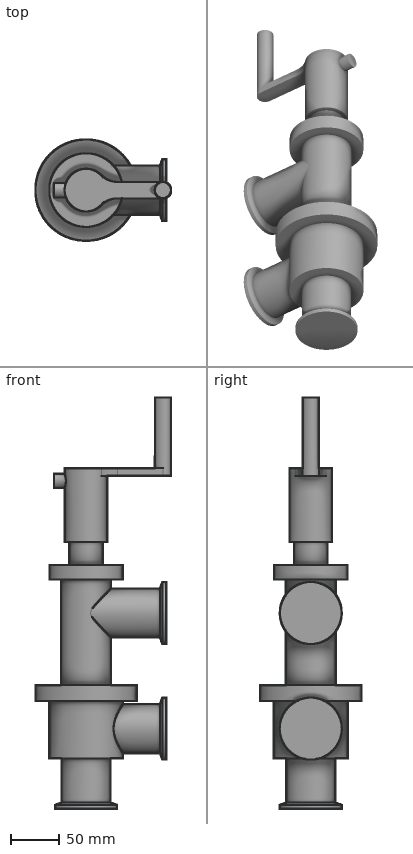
import cadquery as cq
import math

PIPE_DIAMETER = 51.0
FERRULE_DIAMETER = 64.0
FERRULE_RIM = 4.05
FERRULE_BACK_ANGLE = 20.0
SIDE_PORT_REACH = 83.0

LOWER_DIAMETER = 76.5
LOWER_BOTTOM = 52.3
LOWER_PORT_HEIGHT = 83.0
FLANGE_DIAMETER = 105.0
FLANGE_BOTTOM = 111.5
FLANGE_TOP = 128.0

UPPER_DIAMETER = 52.0
UPPER_PORT_HEIGHT = 202.3
CAP_DIAMETER = 76.0
CAP_BOTTOM = 236.5
CAP_TOP = 252.0

STEM_DIAMETER = 35.0
HUB_DIAMETER = 44.0
HUB_BOTTOM = 275.5
HUB_TOP = 352.0
PIN_DIAMETER = 15.0
PIN_HEIGHT = 338.5
PIN_REACH = 33.0
GRIP_DIAMETER = 17.0
GRIP_OFFSET = 79.5
GRIP_TOP = 425.0
ARM_WIDTH = GRIP_DIAMETER
ARM_THICKNESS = 8.0
ARM_BLEND_RADIUS = 23.5


def upright_cylinder(diameter, bottom, top):
    """Solid cylinder on the valve axis between two heights."""
    return cq.Workplane("XY").workplane(offset=bottom).circle(diameter / 2).extrude(top - bottom)


def clamp_port(length):
    """Pipe along +Z from its ferrule face at the origin."""
    pipe_radius = PIPE_DIAMETER / 2
    rim_radius = FERRULE_DIAMETER / 2
    back_height = (rim_radius - pipe_radius) * math.tan(math.radians(FERRULE_BACK_ANGLE))
    profile = (
        cq.Workplane("XZ")
        .lineTo(rim_radius, 0)
        .lineTo(rim_radius, FERRULE_RIM)
        .lineTo(pipe_radius, FERRULE_RIM + back_height)
        .lineTo(pipe_radius, length)
        .lineTo(0, length)
        .close()
    )
    return profile.revolve(360, (0, 0, 0), (0, 1, 0))


def side_port(height):
    """Port running from the valve axis to a ferrule face on the +X side."""
    port = clamp_port(SIDE_PORT_REACH).rotate((0, 0, 0), (0, 1, 0), -90)
    return port.translate((SIDE_PORT_REACH, 0, height))


def make_lower_housing():
    barrel = upright_cylinder(LOWER_DIAMETER, LOWER_BOTTOM, FLANGE_BOTTOM)
    flange = upright_cylinder(FLANGE_DIAMETER, FLANGE_BOTTOM, FLANGE_TOP)
    return clamp_port(LOWER_BOTTOM).union(barrel).union(flange).union(side_port(LOWER_PORT_HEIGHT))


def make_upper_housing():
    barrel = upright_cylinder(UPPER_DIAMETER, FLANGE_TOP, CAP_BOTTOM)
    cap = upright_cylinder(CAP_DIAMETER, CAP_BOTTOM, CAP_TOP)
    return barrel.union(cap).union(side_port(UPPER_PORT_HEIGHT))


def make_arm():
    """Flat arm that flares into the hub through arcs tangent to both."""
    hub_radius = HUB_DIAMETER / 2
    half_width = ARM_WIDTH / 2
    center_distance = hub_radius + ARM_BLEND_RADIUS
    blend_y = half_width + ARM_BLEND_RADIUS
    blend_x = math.sqrt(center_distance**2 - blend_y**2)
    hub_x = blend_x * hub_radius / center_distance
    hub_y = blend_y * hub_radius / center_distance
    return (
        cq.Workplane("XY")
        .workplane(offset=HUB_TOP - ARM_THICKNESS)
        .moveTo(0, -hub_y)
        .lineTo(hub_x, -hub_y)
        .radiusArc((blend_x, -half_width), ARM_BLEND_RADIUS)
        .lineTo(GRIP_OFFSET, -half_width)
        .lineTo(GRIP_OFFSET, half_width)
        .lineTo(blend_x, half_width)
        .radiusArc((hub_x, hub_y), ARM_BLEND_RADIUS)
        .lineTo(0, hub_y)
        .close()
        .extrude(ARM_THICKNESS)
    )


def make_crank():
    stem = upright_cylinder(STEM_DIAMETER, CAP_TOP, HUB_BOTTOM)
    hub = upright_cylinder(HUB_DIAMETER, HUB_BOTTOM, HUB_TOP)
    pin = cq.Workplane("YZ").center(0, PIN_HEIGHT).circle(PIN_DIAMETER / 2).extrude(-PIN_REACH)
    grip = upright_cylinder(GRIP_DIAMETER, HUB_TOP - ARM_THICKNESS, GRIP_TOP).translate((GRIP_OFFSET, 0, 0))
    return stem.union(hub).union(pin).union(make_arm()).union(grip)


lower_housing = make_lower_housing()
upper_housing = make_upper_housing()
crank = make_crank()

result = cq.Compound.makeCompound([lower_housing.val(), upper_housing.val(), crank.val()])